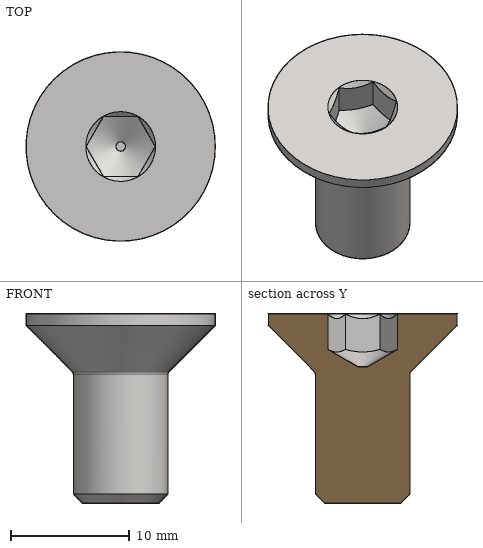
import cadquery as cq
import math

total_length = 16.0
head_radius = 8.0
shank_radius = 4.0
rim_height = 1.0
tip_radius = 3.23
tip_chamfer = shank_radius - tip_radius
neck_fillet = 0.32
neck_search_margin = 0.16

socket_flats = 5.05
socket_corners = socket_flats / math.cos(math.pi / 6)
socket_depth = 3.0
mouth_radius = 2.95
mouth_angle = math.radians(45)
floor_flat_radius = 0.4
floor_angle = math.radians(30)

rim_bottom = total_length - rim_height
neck_height = rim_bottom - (head_radius - shank_radius)


def make_body():
    profile = (
        cq.Workplane("XZ")
        .polyline([
            (0, 0),
            (tip_radius, 0),
            (shank_radius, tip_chamfer),
            (shank_radius, neck_height),
            (head_radius, rim_bottom),
            (head_radius, total_length),
            (0, total_length),
        ])
        .close()
    )
    body = profile.revolve(360, (0, 0), (0, 1))
    neck_edge = cq.selectors.BoxSelector(
        (-head_radius, -head_radius, neck_height - neck_search_margin),
        (head_radius, head_radius, neck_height + neck_search_margin),
        boundingbox=True,
    )
    return body.edges(neck_edge).fillet(neck_fillet)


def make_mouth():
    depth = mouth_radius * math.tan(mouth_angle)
    return (
        cq.Workplane("XZ")
        .polyline([
            (0, total_length),
            (mouth_radius, total_length),
            (0, total_length - depth),
        ])
        .close()
        .revolve(360, (0, 0), (0, 1))
    )


def make_socket():
    corner_radius = socket_corners / 2
    floor_edge = total_length - socket_depth
    floor_drop = (corner_radius - floor_flat_radius) * math.tan(floor_angle)
    floor_bottom = floor_edge - floor_drop
    hexagon = (
        cq.Workplane("XY", origin=(0, 0, floor_bottom))
        .polygon(6, socket_corners)
        .extrude(total_length - floor_bottom)
    )
    drilled_hole = (
        cq.Workplane("XZ")
        .polyline([
            (0, floor_bottom),
            (floor_flat_radius, floor_bottom),
            (corner_radius, floor_edge),
            (corner_radius, total_length),
            (0, total_length),
        ])
        .close()
        .revolve(360, (0, 0), (0, 1))
    )
    return hexagon.intersect(drilled_hole)


result = make_body().cut(make_mouth()).cut(make_socket())